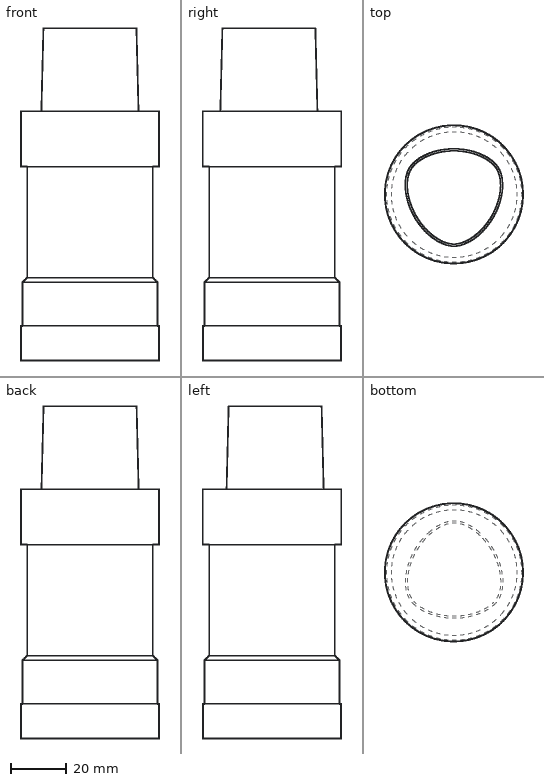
import cadquery as cq
import math

base_diameter = 49.98
base_top = 12.6
shoulder_diameter = 48.8
shoulder_top = 30.0
neck_diameter = 45.4
collar_diameter = 50.0
collar_bottom = 70.0
collar_top = 90.0
shoulder_chamfer = (shoulder_diameter - neck_diameter) / 2

shank_height = 30.0
shank_width = 35.15
shank_taper = 1 / 20
lobe_offset = 1.12
outline_points = 48


def cylinder(diameter, bottom, top):
    """Round section on the Z axis between two heights."""
    return cq.Workplane("XY").workplane(offset=bottom).circle(diameter / 2).extrude(top - bottom)


def lobed_point(angle, width):
    """Point of the constant-width outline whose outward normal lies at the given angle."""
    support = width / 2 + lobe_offset * math.sin(3 * angle)
    slope = 3 * lobe_offset * math.cos(3 * angle)
    x = support * math.cos(angle) - slope * math.sin(angle)
    y = support * math.sin(angle) + slope * math.cos(angle)
    return (x, y)


def lobed_wire(workplane, width):
    """Closed smooth three-lobed outline drawn on the workplane."""
    angles = [2 * math.pi * i / outline_points for i in range(outline_points)]
    return workplane.spline([lobed_point(a, width) for a in angles], periodic=True).close()


def body():
    """Base, chamfered shoulder, neck and collar."""
    base = cylinder(base_diameter, 0, base_top)
    shoulder = cylinder(shoulder_diameter, base_top, shoulder_top)
    shoulder = shoulder.faces(">Z").chamfer(shoulder_chamfer)
    neck = cylinder(neck_diameter, shoulder_top, collar_bottom)
    collar = cylinder(collar_diameter, collar_bottom, collar_top)
    return base.union(shoulder).union(neck).union(collar)


def shank():
    """Tapered polygon shank standing on the collar."""
    tip_width = shank_width - shank_taper * shank_height
    foot = lobed_wire(cq.Workplane("XY").workplane(offset=collar_top), shank_width)
    return lobed_wire(foot.workplane(offset=shank_height), tip_width).loft(ruled=True)


result = body().union(shank())